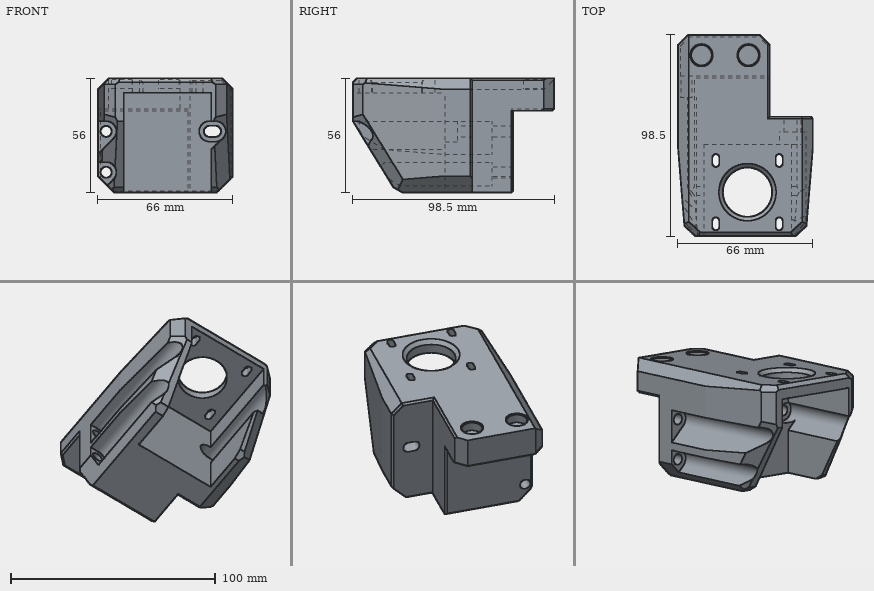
import cadquery as cq
import math


motor_width = 43.0
motor_half = motor_width / 2
motor_plate = 7.0
motor_pocket_back_y = 23.5
pilot_diameter = 24.0
pilot_countersink = 2.0
screw_pitch = 31.0
screw_slot_width = 3.3
screw_slot_length = 6.2

left_x = -34.0
right_x = 32.0
front_y = -motor_half
back_y = 77.0
height = 56.0
side_taper = 3.5
taper_length = motor_width

arm_right_x = 11.0
arm_thickness = 16.0
arm_corner = 5.0
body_back_y = 57.0
right_back_y = 37.0

top_bevel = 5.3
bottom_bevel = 8.0
rear_bevel = 1.0
front_top_bevel = 2.0
front_corner_bevel = 5.0
corner_top_bevel = 3.0
slope_side_bevel = 6.0
slope_bottom_bevel = 3.0

rod_screw_diameter = 5.3
channel_radius = 5.0
channel_end_y = 46.5
upper_screw_z = -26.0
screw_spacing_z = 20.0
left_screw_x = -30.0
right_screw_x = 22.0
right_slot_travel = 3.0
right_channel_x = 23.2
right_recess_end_y = 29.5

socket_diameter = 10.0
socket_depth = 5.0
socket_rim_bevel = 0.5
socket_spacing = 23.0
socket_right_x = 0.5
socket_back_margin = 10.0

slope_start_z = upper_screw_z + channel_radius
slope_run = motor_half
slope_rise = height + slope_start_z

cut_reach = 200.0
bevel_angle = 45.0

LEFT = (-1, 0, 0)
RIGHT = (1, 0, 0)
UP = (0, 0, 1)
DOWN = (0, 0, -1)
BACK = (0, 1, 0)
FRONT = (0, -1, 0)
SLOPE = (0, -slope_rise, -slope_run)


def trim(body, point, outward):
    """Remove everything lying beyond a plane."""
    beyond = cq.Workplane(cq.Plane(origin=point, normal=outward))
    return body.cut(beyond.rect(2 * cut_reach, 2 * cut_reach).extrude(cut_reach))


def bevel_plane(edge_point, first, second, leg):
    """Point and normal of the bevel that takes the same leg from two planes."""
    first = cq.Vector(*first).normalized()
    second = cq.Vector(*second).normalized()
    normal = (first + second).normalized()
    depth = leg * math.sin(first.getAngle(second) / 2)
    point = cq.Vector(*edge_point) - normal * depth
    return point.toTuple(), normal.toTuple()


def bevel(body, edge_point, first, second, leg):
    """Bevel the edge between two planes, taking the same leg from each."""
    return trim(body, *bevel_plane(edge_point, first, second, leg))


def block(x_range, y_range, z_range):
    """Axis-aligned box between the given limits."""
    sizes = [high - low for low, high in (x_range, y_range, z_range)]
    corner = (x_range[0], y_range[0], z_range[0])
    return cq.Workplane("XY").box(*sizes, centered=False).translate(corner)


def make_arm():
    """Flat arm reaching back over the body, with its two rear corners cut off."""
    arm = block((left_x, arm_right_x), (front_y, back_y), (-arm_thickness, 0))
    arm = arm.faces(">X").edges(">Z").chamfer(rear_bevel)
    arm = bevel(arm, (left_x, back_y, 0), LEFT, BACK, arm_corner)
    arm = bevel(arm, (arm_right_x, back_y, 0), RIGHT, BACK, arm_corner)
    lower_edges = arm.faces("<Z").edges("not(<Y or >X)")
    return arm.newObject(lower_edges.vals()).chamfer(rear_bevel)


def make_body():
    """Deep body below the arm, stepped forward on its right side."""
    deep_top = -rear_bevel
    deep = block((left_x, arm_right_x), (front_y, body_back_y), (-height, deep_top))
    deep = deep.faces(">Y").edges().chamfer(rear_bevel)
    right = block((left_x, right_x), (front_y, right_back_y), (-height, 0))
    right = bevel(right, (right_x, right_back_y, 0), RIGHT, UP, top_bevel)
    right = right.faces(">Y").edges().chamfer(rear_bevel)
    return deep.union(right)


def shape_side(body, side):
    """Taper one side towards the front (-1 left, 1 right) and bevel its edges."""
    side_x = right_x if side > 0 else left_x
    front_x = side_x - side * side_taper
    outward = (side, 0, 0)
    taper = (side * taper_length, -side_taper, 0)
    front_edge = (front_x, front_y, 0)
    slope_edge = (front_x, front_y, slope_start_z)
    corner_point, corner_normal = bevel_plane(front_edge, taper, FRONT, front_corner_bevel)
    body = trim(body, front_edge, taper)
    body = bevel(body, (side_x, 0, 0), outward, UP, top_bevel)
    body = bevel(body, (side_x, 0, -height), outward, DOWN, bottom_bevel)
    body = trim(body, corner_point, corner_normal)
    body = bevel(body, corner_point, corner_normal, UP, corner_top_bevel)
    return bevel(body, slope_edge, taper, SLOPE, slope_side_bevel)


def shape_front(body):
    """Bevel the upper front edge and slope away the lower front."""
    body = bevel(body, (0, front_y, 0), FRONT, UP, front_top_bevel)
    body = trim(body, (0, front_y, slope_start_z), SLOPE)
    slope_foot = (0, front_y + slope_run, -height)
    return bevel(body, slope_foot, SLOPE, DOWN, slope_bottom_bevel)


def cut_motor_seat(body):
    """Motor pocket open to the front and below, pilot hole and screw slots."""
    pocket_y_range = (front_y, motor_pocket_back_y)
    pocket = block((-motor_half, motor_half), pocket_y_range, (-height, -motor_plate))
    body = body.cut(pocket)
    top = body.faces(">Z").workplane(origin=(0, 0, 0))
    pilot_rim = pilot_diameter + 2 * pilot_countersink
    body = top.cskHole(pilot_diameter, pilot_rim, 2 * bevel_angle, depth=motor_plate)
    slots = (
        cq.Workplane("XY")
        .rect(screw_pitch, screw_pitch, forConstruction=True)
        .vertices()
        .slot2D(screw_slot_length, screw_slot_width, angle=90)
        .extrude(-motor_plate)
    )
    return body.cut(slots)


def along_y(profile, y_from, y_to):
    """Extrude an XZ profile between two Y positions."""
    return profile.extrude(y_from - y_to).translate((0, y_from, 0))


def channel_profile(screw_x, screw_z):
    """Round-cornered channel: flat on top, closing to the lower left at 45 degrees."""
    diagonal = channel_radius * math.sqrt(0.5)
    reach = 2 * channel_radius
    return (
        cq.Workplane("XZ")
        .moveTo(screw_x, screw_z + channel_radius)
        .threePointArc(
            (screw_x + channel_radius, screw_z),
            (screw_x + diagonal, screw_z - diagonal),
        )
        .lineTo(screw_x + diagonal - reach, screw_z - diagonal - reach)
        .lineTo(screw_x + diagonal - reach, screw_z + channel_radius)
        .close()
    )


def cut_left_channels(body):
    """Two channels open to the left side, each ending in a screw hole."""
    for screw_z in (upper_screw_z, upper_screw_z - screw_spacing_z):
        channel = channel_profile(left_screw_x, screw_z)
        hole = cq.Workplane("XZ").center(left_screw_x, screw_z).circle(rod_screw_diameter / 2)
        body = body.cut(along_y(channel, front_y, channel_end_y))
        body = body.cut(along_y(hole, front_y, body_back_y))
    return body


def right_slot(diameter, end_y):
    """Slot widened along X about the right screw, running back to end_y."""
    slot = cq.Workplane("XZ").center(right_screw_x, upper_screw_z)
    slot = slot.slot2D(diameter + right_slot_travel, diameter)
    return along_y(slot, front_y, end_y)


def cut_right_channel(body):
    """Channel open to the motor pocket, leading to a slotted screw recess."""
    channel = channel_profile(right_channel_x, upper_screw_z)
    body = body.cut(along_y(channel, front_y, motor_pocket_back_y))
    body = body.cut(right_slot(2 * channel_radius, right_recess_end_y))
    return body.cut(right_slot(rod_screw_diameter, right_back_y))


def cut_sockets(body):
    """Blind round sockets with a bevelled rim."""
    rim_diameter = socket_diameter + 2 * socket_rim_bevel
    socket = cq.Workplane("XY").circle(socket_diameter / 2).extrude(-socket_depth)
    rim = cq.Workplane("XY").circle(rim_diameter / 2).extrude(-socket_rim_bevel, taper=bevel_angle)
    for x in (socket_right_x - socket_spacing, socket_right_x):
        body = body.cut(socket.union(rim).translate((x, back_y - socket_back_margin, 0)))
    return body


result = make_arm().union(make_body())
for side_sign in (-1, 1):
    result = shape_side(result, side_sign)
result = shape_front(result)
result = cut_motor_seat(result)
result = cut_left_channels(result)
result = cut_right_channel(result)
result = cut_sockets(result)